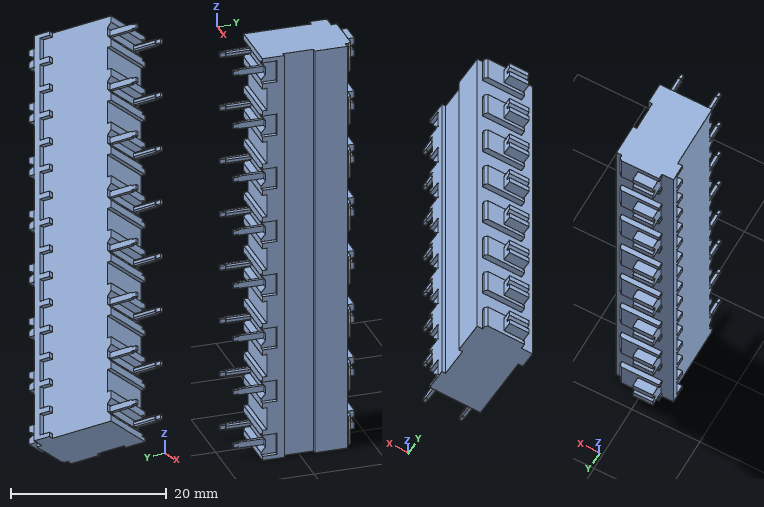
import cadquery as cq


pole_count = 8
pole_pitch = 7.62
block_length = 57.54
first_pole_z = (block_length - (pole_count - 1) * pole_pitch) / 2

block_width = 8.4
lip_depth = 0.7
foot_y = 3.5
foot_height = 0.6
recess_y = foot_y + foot_height
finger_end_y = 12.65
lip_y = 14.1
shoulder_y = 15.05

channel_depth = 0.55
channel_bottom_y = 6.5
channel_top_y = 10.6

foot_half = 2.25
slot_half = 1.5
slot_depth = 2.0
groove_mouth_half = 1.2
groove_floor_half = 0.5

ledge_start_x = 1.7
ledge_end_x = 7.6
ledge_y = 15.8
ledge_half = 2.0
ledge_chamfer = 0.35
button_start_x = 1.87
button_end_x = 4.8
button_y = 17.15
button_half = 1.33
notch_mouth_half = 0.45
notch_floor_half = 0.15
notch_depth = 0.6

pin_outer_xs = (1.3, 7.25)
pin_plate = 0.43
pin_thickness = 0.58
pin_half = 0.42
pin_ridge_half = 0.2
pin_tip_half = 0.3
pin_tip_length = 0.75
pin_taper_length = 0.15
pin_embed = 1.0


def box(x0, x1, y0, y1, z0, z1):
    """Axis-aligned box between two opposite corners."""
    return cq.Workplane("XY").box(x1 - x0, y1 - y0, z1 - z0, centered=False).translate((x0, y0, z0))


def along_x(points, x0, x1):
    """Extrude a (Y, Z) outline from x0 to x1."""
    return cq.Workplane("YZ").polyline(points).close().extrude(x1 - x0).translate((x0, 0, 0))


def make_housing():
    """Plain housing with the lip on its -X side and the channel on its +X side."""
    body = box(lip_depth, block_width, recess_y, shoulder_y, 0, block_length)
    lip = box(0, lip_depth, lip_y, shoulder_y, 0, block_length)
    channel = box(block_width - channel_depth, block_width, channel_bottom_y, channel_top_y, 0, block_length)
    return body.union(lip).cut(channel)


def make_foot(z):
    """Foot with a flared groove along X between its two standing edges."""
    foot = box(lip_depth, block_width, foot_y, recess_y, z - foot_half, z + foot_half)
    groove = along_x(
        [
            (foot_y, z - groove_mouth_half),
            (recess_y, z - groove_floor_half),
            (recess_y, z + groove_floor_half),
            (foot_y, z + groove_mouth_half),
        ],
        lip_depth,
        block_width,
    )
    return foot.cut(groove)


def make_fingers(z):
    """Pair of lip extensions either side of a pole."""
    upper = box(0, lip_depth, finger_end_y, lip_y, z + slot_half, z + foot_half)
    lower = box(0, lip_depth, finger_end_y, lip_y, z - foot_half, z - slot_half)
    return upper.union(lower)


def make_side_slot(z):
    """Slot on the +X side running up from the foot."""
    slot_end_y = foot_y + slot_depth
    return box(block_width - channel_depth, block_width, foot_y, slot_end_y, z - slot_half, z + slot_half)


def make_ledge(z, bottom_z, top_z):
    """Raised ledge with a chamfered +X corner and an opening for the button."""
    ledge = box(ledge_start_x, ledge_end_x, shoulder_y, ledge_y, bottom_z, top_z)
    ledge = ledge.edges(">X and >Y").chamfer(ledge_chamfer)
    opening = box(ledge_start_x, button_end_x, shoulder_y, ledge_y, z - button_half, z + button_half)
    return ledge.cut(opening)


def make_button(z):
    """Push button with a tapered groove across its face."""
    button = box(button_start_x, button_end_x, shoulder_y, button_y, z - button_half, z + button_half)
    groove = along_x(
        [
            (button_y, z - notch_mouth_half),
            (button_y - notch_depth, z - notch_floor_half),
            (button_y - notch_depth, z + notch_floor_half),
            (button_y, z + notch_mouth_half),
        ],
        button_start_x,
        button_end_x,
    )
    return button.cut(groove)


def make_pin(outer_x, inward, z):
    """Flat pin with a bevelled ridge on its inner face; only the flat runs to the tip."""
    plate_x = outer_x + inward * pin_plate
    ridge_x = outer_x + inward * pin_thickness
    root_y = recess_y + pin_embed
    taper_y = pin_tip_length - pin_taper_length
    plate = along_x(
        [
            (root_y, z - pin_half),
            (pin_tip_length, z - pin_half),
            (taper_y, z - pin_tip_half),
            (0, z - pin_tip_half),
            (0, z + pin_tip_half),
            (taper_y, z + pin_tip_half),
            (pin_tip_length, z + pin_half),
            (root_y, z + pin_half),
        ],
        min(outer_x, plate_x),
        max(outer_x, plate_x),
    )
    ridge = (
        cq.Workplane("XZ", origin=(0, root_y, 0))
        .polyline(
            [
                (plate_x, z - pin_half),
                (ridge_x, z - pin_ridge_half),
                (ridge_x, z + pin_ridge_half),
                (plate_x, z + pin_half),
            ]
        )
        .close()
        .extrude(root_y - pin_tip_length)
    )
    return plate.union(ridge)


result = make_housing()
for pole in range(pole_count):
    pole_z = first_pole_z + pole * pole_pitch
    result = result.union(make_foot(pole_z)).union(make_fingers(pole_z))
    result = result.cut(make_side_slot(pole_z))
    ledge_bottom_z = 0 if pole == 0 else pole_z - ledge_half
    ledge_top_z = block_length if pole == pole_count - 1 else pole_z + ledge_half
    result = result.union(make_ledge(pole_z, ledge_bottom_z, ledge_top_z))
    result = result.union(make_button(pole_z))

result = result.intersect(box(0, block_width, 0, button_y, 0, block_length))

for pole in range(pole_count):
    pole_z = first_pole_z + pole * pole_pitch
    result = result.union(make_pin(pin_outer_xs[0], 1, pole_z))
    result = result.union(make_pin(pin_outer_xs[1], -1, pole_z))